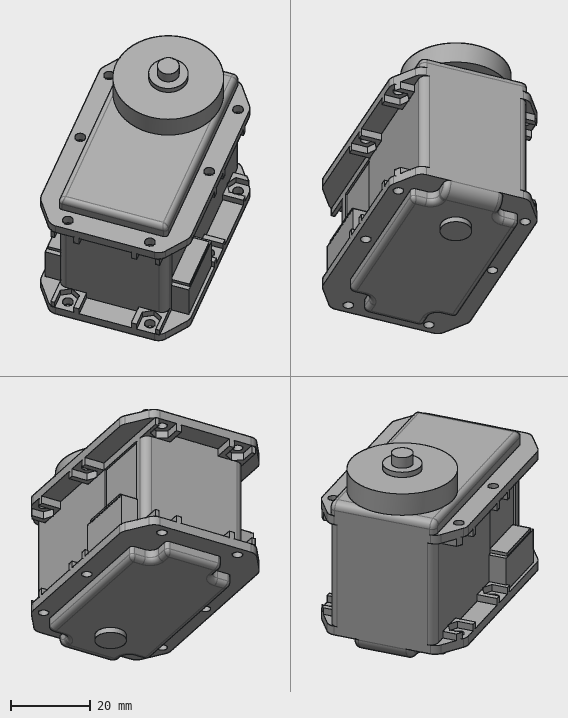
import cadquery as cq
import math


OVERALL_LENGTH = 62.1

CASE_BOTTOM = 1.5
CASE_HEIGHT = 41.2
CASE_TOP = CASE_BOTTOM + CASE_HEIGHT
LOWER_FLANGE_BOTTOM = 5.1
UPPER_FLANGE_BOTTOM = 36.5
FLANGE_THICKNESS = 2.5
LOWER_FLANGE_TOP = LOWER_FLANGE_BOTTOM + FLANGE_THICKNESS
UPPER_FLANGE_TOP = UPPER_FLANGE_BOTTOM + FLANGE_THICKNESS
WHEEL_BOTTOM = 43.0
WHEEL_TOP = 49.05
HUB_TOP = 50.55
SHAFT_TOP = 53.5

WHEEL_DIAMETER = 28.0
COLLAR_DIAMETER = 11.0
HUB_DIAMETER = 10.0
SHAFT_DIAMETER = 5.5
PIN_DIAMETER = 8.0

CASE_WIDTH = 29.1
CASE_BACK = 12.9
CASE_LENGTH = 55.35
CASE_FRONT = CASE_BACK - CASE_LENGTH
CASE_SIDE = CASE_WIDTH / 2
CASE_CORNER_RADIUS = 2.1
COVER_EDGE_RADIUS = 1.5
COVER_CORNER_RADIUS = 1.0
BACK_TOP_RADIUS = 2.1
BACK_BOTTOM_RADIUS = 3.55

NOTCH_SIZE = 6.5
NOTCH_RADIUS = 2.5

FLANGE_WIDTH = 40.2
FLANGE_FRONT = WHEEL_DIAMETER / 2 - OVERALL_LENGTH
FLANGE_LENGTH = CASE_BACK - FLANGE_FRONT
FLANGE_CENTRE = (CASE_BACK + FLANGE_FRONT) / 2
FLANGE_CORNER_X = 5.3
FLANGE_CORNER_Y = 7.5
FLANGE_CORNER_RADIUS = 3.0

SCREW_DIAMETER = 2.7
SIDE_SCREW_X = 17.25
SIDE_SCREW_YS = (4.0, -18.0)
FRONT_SCREW_X = 11.0
FRONT_SCREW_Y = -45.3
BOSS_WIDTH = 8.0
LOWER_BOSS_HEIGHT = 1.85
UPPER_BOSS_HEIGHT = 2.1
NUT_ACROSS_FLATS = 5.1
NUT_ACROSS_CORNERS = NUT_ACROSS_FLATS / math.cos(math.pi / 6)

RECESS_BACK = -22.4
RECESS_FRONT = -38.45
RECESS_DEPTH = 0.5
BLOCK_BACK = -21.75
BLOCK_FRONT = -39.1
BLOCK_SIDE = 19.25
BLOCK_TOP = 17.0
STEP_INSET = 1.2
STEP_SIDE = 19.0
STEP_TOP = 17.9

SIDES = (-1, 1)


def box(x_range, y_range, z_range):
    """Box between two corner points; each range may run in either direction."""
    low = [min(r) for r in (x_range, y_range, z_range)]
    size = [abs(r[1] - r[0]) for r in (x_range, y_range, z_range)]
    return cq.Workplane("XY").box(*size, centered=False).translate(tuple(low))


def disc(diameter, bottom, top):
    return cq.Workplane("XY").workplane(offset=bottom).circle(diameter / 2).extrude(top - bottom)


def case_block(bottom, top):
    return box((-CASE_SIDE, CASE_SIDE), (CASE_FRONT, CASE_BACK), (bottom, top))


def make_middle():
    middle = case_block(LOWER_FLANGE_BOTTOM, UPPER_FLANGE_TOP).edges("|Z").fillet(CASE_CORNER_RADIUS)
    for side in SIDES:
        middle = middle.cut(
            box(
                (side * (CASE_SIDE - RECESS_DEPTH), side * CASE_SIDE),
                (RECESS_FRONT, RECESS_BACK),
                (LOWER_FLANGE_TOP, UPPER_FLANGE_BOTTOM - UPPER_BOSS_HEIGHT),
            )
        )
    return middle


def make_top_cover():
    cover = case_block(UPPER_FLANGE_TOP, CASE_TOP).edges(">Z and >Y").fillet(BACK_TOP_RADIUS)
    cover = cover.edges("|Z and <Y").fillet(COVER_CORNER_RADIUS)
    return cover.faces("<X").edges("not <Z").fillet(COVER_EDGE_RADIUS)


def make_bottom_cover():
    """Cover with a rounded notch in each of its four corners."""
    cover = case_block(CASE_BOTTOM, LOWER_FLANGE_BOTTOM).edges("<Z and >Y").fillet(BACK_BOTTOM_RADIUS)
    notch = cq.Workplane("XY").box(2 * NOTCH_SIZE, 2 * NOTCH_SIZE, 2 * LOWER_FLANGE_BOTTOM)
    notch = notch.edges("|Z").fillet(NOTCH_RADIUS)
    for side in SIDES:
        for y in (CASE_FRONT, CASE_BACK):
            cover = cover.cut(notch.translate((side * CASE_SIDE, y, 0)))
    cover = cover.edges("|Z and (<X or >X or <Y)").fillet(COVER_CORNER_RADIUS)
    return cover.edges("<Z").fillet(COVER_EDGE_RADIUS)


def flange_plate(bottom, thickness):
    blank = cq.Workplane("XY").workplane(offset=bottom).center(0, FLANGE_CENTRE)
    half_x = FLANGE_WIDTH / 2
    half_y = FLANGE_LENGTH / 2
    slant_x = half_x - FLANGE_CORNER_X
    slant_y = half_y - FLANGE_CORNER_Y
    outline = [
        (slant_x, half_y),
        (half_x, slant_y),
        (half_x, -slant_y),
        (slant_x, -half_y),
        (-slant_x, -half_y),
        (-half_x, -slant_y),
        (-half_x, slant_y),
        (-slant_x, half_y),
    ]
    return blank.polyline(outline).close().extrude(thickness).edges("|Z").fillet(FLANGE_CORNER_RADIUS)


def nut_pocket(x, y, outward, bottom, height):
    """Hexagon with one corner facing the case, carried on past the flange edge."""
    angle = math.degrees(math.atan2(outward[1], outward[0]))
    nut = cq.Workplane("XY").polygon(6, NUT_ACROSS_CORNERS).extrude(height)
    opening = box((0, 2 * NUT_ACROSS_CORNERS), (-NUT_ACROSS_FLATS / 2, NUT_ACROSS_FLATS / 2), (0, height))
    return nut.union(opening).rotate((0, 0, 0), (0, 0, 1), angle).translate((x, y, bottom))


def make_bosses(bottom, height):
    side_bosses = cq.Workplane("XY")
    front_bosses = cq.Workplane("XY")
    z_range = (bottom, bottom + height)
    front_y_range = (CASE_FRONT + CASE_CORNER_RADIUS, FLANGE_FRONT)
    for side in SIDES:
        side_x_range = (side * (CASE_SIDE - RECESS_DEPTH), side * FLANGE_WIDTH / 2)
        for y in SIDE_SCREW_YS:
            y_range = (y - BOSS_WIDTH / 2, y + BOSS_WIDTH / 2)
            side_bosses = side_bosses.union(box(side_x_range, y_range, z_range))
        front_x_range = (side * (FRONT_SCREW_X - BOSS_WIDTH / 2), side * CASE_SIDE)
        front_bosses = front_bosses.union(box(front_x_range, front_y_range, z_range))
    return side_bosses.intersect(flange_plate(bottom, height)).union(front_bosses)


def make_nut_pockets(bottom, height):
    pockets = cq.Workplane("XY")
    for side in SIDES:
        for y in SIDE_SCREW_YS:
            pockets = pockets.union(nut_pocket(side * SIDE_SCREW_X, y, (side, 0), bottom, height))
        pockets = pockets.union(nut_pocket(side * FRONT_SCREW_X, FRONT_SCREW_Y, (0, -1), bottom, height))
    return pockets


def make_screw_holes():
    """Pins that pass through both flanges."""
    centres = [(side * SIDE_SCREW_X, y) for side in SIDES for y in SIDE_SCREW_YS]
    centres += [(side * FRONT_SCREW_X, FRONT_SCREW_Y) for side in SIDES]
    return cq.Workplane("XY").pushPoints(centres).circle(SCREW_DIAMETER / 2).extrude(SHAFT_TOP)


def make_connector(side):
    inner = side * (CASE_SIDE - RECESS_DEPTH)
    block = box((inner, side * BLOCK_SIDE), (BLOCK_FRONT, BLOCK_BACK), (LOWER_FLANGE_TOP, BLOCK_TOP))
    step_range = (BLOCK_FRONT + STEP_INSET, BLOCK_BACK - STEP_INSET)
    step = box((inner, side * STEP_SIDE), step_range, (BLOCK_TOP, STEP_TOP))
    return block.union(step)


boss_levels = (
    (LOWER_FLANGE_TOP, LOWER_BOSS_HEIGHT),
    (UPPER_FLANGE_BOTTOM - UPPER_BOSS_HEIGHT, UPPER_BOSS_HEIGHT),
)

flanges = flange_plate(LOWER_FLANGE_BOTTOM, FLANGE_THICKNESS)
flanges = flanges.union(flange_plate(UPPER_FLANGE_BOTTOM, FLANGE_THICKNESS))
for level, height in boss_levels:
    flanges = flanges.union(make_bosses(level, height))
flanges = flanges.cut(make_screw_holes())

result = make_middle().union(make_top_cover()).union(make_bottom_cover()).union(flanges)
for level, height in boss_levels:
    result = result.cut(make_nut_pockets(level, height))
for side in SIDES:
    result = result.union(make_connector(side))

shaft_stack = (
    (PIN_DIAMETER, 0, CASE_BOTTOM),
    (COLLAR_DIAMETER, CASE_TOP, WHEEL_BOTTOM),
    (WHEEL_DIAMETER, WHEEL_BOTTOM, WHEEL_TOP),
    (HUB_DIAMETER, WHEEL_TOP, HUB_TOP),
    (SHAFT_DIAMETER, HUB_TOP, SHAFT_TOP),
)
for diameter, bottom, top in shaft_stack:
    result = result.union(disc(diameter, bottom, top))